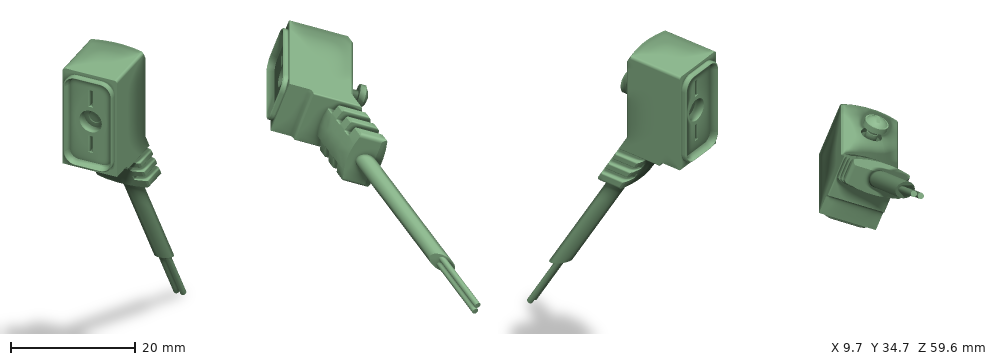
import cadquery as cq
import math


OVERALL_HEIGHT = 59.55
WIDTH = 9.7
HEIGHT = 18.05
DEPTH = 11.55
CROWN = 0.7
CORNER_CHAMFER = 0.3
TOP_EDGE_RADIUS = 0.5
TOP_BEVEL_HEIGHT = 1.35
TOP_BEVEL_DEPTH = 0.85
BASE_DROP = 0.9
STEP_Y = 4.15
STEP_RADIUS = 0.6

COLLAR_WIDTH = 8.75
COLLAR_HEIGHT = 16.7
COLLAR_RADIUS = 2.2
COLLAR_LENGTH = 0.9
COLLAR_CHAMFER = 0.2
RIM_INSET = 0.25
POCKET_DEPTH = 1.2
POCKET_DRAFT = 0.5

SLOT_WIDTH = 0.9
SLOT_CHAMFER = 0.2
SLOT_HEIGHT = 3.1
SLOT_DEPTH = 3.6
SLOT_OFFSET = 4.3

LEAN = math.radians(30)
LEAN_RUN = math.tan(LEAN)
BEND_Z = -7.15
RELIEF_THICKNESS = 6.25
RELIEF_END_Z = -17.8
END_BEVEL_HEIGHT = 0.85
END_BEVEL_DEPTH = 1.9
RELIEF_CORNER = 0.65
GROOVE_COUNT = 3
GROOVE_PITCH = 2.45
GROOVE_HEIGHT = 1.2
GROOVE_RADIUS = 0.25
CORE_WIDTH = 5.5
CABLE_DIAMETER = 2.9
CABLE_END_Z = -40.2
CABLE_CUT_SLOPE = math.radians(20)
WIRE_DIAMETER = 1.0
WIRE_SPACING = 1.2

SHANK_DIAMETER = 1.7
HEAD_DIAMETER = 4.0
HEAD_Y = 13.05
HEAD_RIM = 1.0
DOME_DIAMETER = 3.6
DOME_HEIGHT = 0.8
DRIVE_WIDTH = 0.6
DRIVE_DEPTH = 0.25
THREAD_DIAMETER = 2.0
THREAD_END_Y = 12.1
ACCESS_DIAMETER = 4.0
ACCESS_END_Y = 2.0
BORE_CHAMFER = 0.2
BACK_HOLE_DIAMETER = 3.6
BACK_HOLE_DEPTH = 0.9

TOP_Z = HEIGHT / 2
FACE_BASE_Z = -HEIGHT / 2
BASE_Z = FACE_BASE_Z - BASE_DROP
WIRE_END_Z = TOP_Z - OVERALL_HEIGHT + WIRE_DIAMETER / 2 * math.sin(LEAN)
AXIS_BEND_Y = DEPTH - RELIEF_THICKNESS / 2
CABLE_DIRECTION = cq.Vector(0, math.sin(LEAN), -math.cos(LEAN))


def axis_point(x, z):
    """Point at height z on a line parallel to the leaning cable axis, offset by x."""
    return cq.Vector(x, AXIS_BEND_Y + (BEND_Z - z) * LEAN_RUN, z)


def crowned_sweep(z_start, z_end, run, y_front, y_back, front_crown):
    """Horizontal section with a crowned back, swept from z_start to z_end while moving run along Y."""
    half = WIDTH / 2
    inner = half - CORNER_CHAMFER
    y_corner = y_back - CROWN
    section = (
        cq.Workplane("XY", origin=(0, 0, z_start))
        .moveTo(inner, y_corner)
        .threePointArc((0, y_back), (-inner, y_corner))
        .lineTo(-half, y_corner - CORNER_CHAMFER)
    )
    if front_crown:
        section = (
            section.lineTo(-half, y_front + CROWN + CORNER_CHAMFER)
            .lineTo(-inner, y_front + CROWN)
            .threePointArc((0, y_front), (inner, y_front + CROWN))
            .lineTo(half, y_front + CROWN + CORNER_CHAMFER)
        )
    else:
        section = section.lineTo(-half, y_front).lineTo(half, y_front)
    section = section.lineTo(half, y_corner - CORNER_CHAMFER).close()
    face = cq.Face.makeFromWires(section.val())
    return cq.Workplane(cq.Solid.extrudeLinear(face, cq.Vector(0, run, z_end - z_start)))


def make_block():
    bevel_z = TOP_Z - TOP_BEVEL_HEIGHT
    block = crowned_sweep(BASE_Z, bevel_z, 0, 0, DEPTH, False)
    top = crowned_sweep(bevel_z, TOP_Z, -TOP_BEVEL_DEPTH, 0, DEPTH, False)
    ahead = cq.Workplane("XY").box(WIDTH, DEPTH, HEIGHT).translate((0, -DEPTH / 2, TOP_Z))
    block = block.union(top.cut(ahead))
    rounding = (
        cq.Workplane("XZ").rect(WIDTH, 2 * HEIGHT).extrude(-DEPTH)
        .edges("|Y and >Z").fillet(TOP_EDGE_RADIUS)
        .translate((0, 0, TOP_Z - HEIGHT))
    )
    step = (
        cq.Workplane("YZ")
        .moveTo(0, BASE_Z)
        .lineTo(STEP_Y, BASE_Z)
        .lineTo(STEP_Y - BASE_DROP * LEAN_RUN, FACE_BASE_Z)
        .lineTo(0, FACE_BASE_Z)
        .close()
        .extrude(WIDTH, both=True)
        .faces(">Z").edges(">Y").fillet(STEP_RADIUS)
    )
    return block.intersect(rounding).cut(step)


def flared_groove(side, z):
    """Side groove running along Y, with rounded inner corners and a mouth flared by convex arcs."""
    half = WIDTH / 2
    top = GROOVE_HEIGHT / 2
    radius = GROOVE_RADIUS
    diagonal = radius * math.sqrt(0.5)
    floor = CORE_WIDTH / 2
    groove = (
        cq.Workplane("XZ")
        .moveTo(half, -top - radius)
        .threePointArc((half - radius + diagonal, -top - radius + diagonal), (half - radius, -top))
        .lineTo(floor + radius, -top)
        .threePointArc((floor + radius - diagonal, -top + radius - diagonal), (floor, -top + radius))
        .lineTo(floor, top - radius)
        .threePointArc((floor + radius - diagonal, top - radius + diagonal), (floor + radius, top))
        .lineTo(half - radius, top)
        .threePointArc((half - radius + diagonal, top + radius - diagonal), (half, top + radius))
        .close()
        .extrude(OVERALL_HEIGHT, both=True)
    )
    if side < 0:
        groove = groove.mirror("YZ")
    return groove.translate((0, 0, z))


def make_relief():
    drop = BEND_Z - RELIEF_END_Z
    relief = crowned_sweep(
        BEND_Z, RELIEF_END_Z, drop * LEAN_RUN, DEPTH - RELIEF_THICKNESS, DEPTH, True
    )
    y_tip = DEPTH + drop * LEAN_RUN
    end_bevel = (
        cq.Workplane("YZ")
        .moveTo(y_tip - END_BEVEL_DEPTH, RELIEF_END_Z)
        .lineTo(y_tip - END_BEVEL_HEIGHT * LEAN_RUN, RELIEF_END_Z + END_BEVEL_HEIGHT)
        .lineTo(y_tip, RELIEF_END_Z)
        .close()
        .extrude(WIDTH, both=True)
    )
    relief = relief.cut(end_bevel)
    rounding = (
        cq.Workplane("XZ").rect(WIDTH, 2 * drop).extrude(OVERALL_HEIGHT, both=True)
        .edges("|Y and <Z").fillet(RELIEF_CORNER)
        .translate((0, 0, RELIEF_END_Z + drop))
    )
    return relief.intersect(rounding)


def groove_cutters():
    cutters = []
    for index in range(GROOVE_COUNT):
        z = BASE_Z - GROOVE_HEIGHT / 2 - index * GROOVE_PITCH
        for side in (-1, 1):
            cutters.append(flared_groove(side, z))
    return cutters


def leaning_rod(x, diameter, z_end):
    """Cylinder along the cable direction, starting inside the strain relief."""
    start = axis_point(x, BASE_Z)
    end = axis_point(x, z_end)
    length = (end - start).Length
    return cq.Workplane(cq.Solid.makeCylinder(diameter / 2, length, start, CABLE_DIRECTION))


def make_cable():
    cable = leaning_rod(0, CABLE_DIAMETER, CABLE_END_Z - CABLE_DIAMETER)
    end = axis_point(0, CABLE_END_Z)
    below = (
        cq.Workplane("XY").box(WIDTH, WIDTH, WIDTH, centered=(True, True, False))
        .translate((0, 0, -WIDTH))
        .rotate((0, 0, 0), (1, 0, 0), -math.degrees(CABLE_CUT_SLOPE))
        .translate(end)
    )
    cable = cable.cut(below)
    for side in (-1, 1):
        cable = cable.union(leaning_rod(side * WIRE_SPACING / 2, WIRE_DIAMETER, WIRE_END_Z))
    return cable


def make_collar():
    return (
        cq.Workplane("XZ").rect(COLLAR_WIDTH, COLLAR_HEIGHT).extrude(COLLAR_LENGTH)
        .edges("|Y").fillet(COLLAR_RADIUS)
        .faces("<Y").edges().chamfer(COLLAR_CHAMFER)
    )


def make_collar_pocket():
    taper = math.degrees(math.atan2(POCKET_DRAFT, POCKET_DEPTH))
    mouth = cq.Sketch().rect(COLLAR_WIDTH - 2 * RIM_INSET, COLLAR_HEIGHT - 2 * RIM_INSET)
    mouth = mouth.vertices().fillet(COLLAR_RADIUS - RIM_INSET)
    return (
        cq.Workplane("XZ", origin=(0, -COLLAR_LENGTH, 0)).placeSketch(mouth)
        .extrude(-POCKET_DEPTH, taper=taper)
    )


def make_contact_slot(z):
    floor_y = POCKET_DEPTH - COLLAR_LENGTH
    slot = (
        cq.Workplane("XZ", origin=(0, floor_y, z))
        .rect(SLOT_WIDTH - 2 * SLOT_CHAMFER, SLOT_HEIGHT).extrude(-SLOT_DEPTH)
    )
    mouth = (
        cq.Workplane("XY", origin=(0, 0, z - SLOT_HEIGHT / 2))
        .moveTo(-SLOT_WIDTH / 2, floor_y)
        .lineTo(SLOT_WIDTH / 2, floor_y)
        .lineTo(SLOT_WIDTH / 2 - SLOT_CHAMFER, floor_y + SLOT_CHAMFER)
        .lineTo(SLOT_CHAMFER - SLOT_WIDTH / 2, floor_y + SLOT_CHAMFER)
        .close()
        .extrude(SLOT_HEIGHT)
    )
    return slot.union(mouth)


def along_y(diameter, y_start, y_end):
    return cq.Workplane("XZ", origin=(0, y_start, 0)).circle(diameter / 2).extrude(y_start - y_end)


def make_bore():
    mouth = (
        cq.Workplane("XZ", origin=(0, ACCESS_END_Y, 0))
        .circle(THREAD_DIAMETER / 2 + BORE_CHAMFER)
        .workplane(offset=-BORE_CHAMFER)
        .circle(THREAD_DIAMETER / 2)
        .loft()
    )
    return along_y(THREAD_DIAMETER, ACCESS_END_Y, DEPTH).union(mouth)


def make_housing():
    """Housing body with its strain relief, cable and wires moulded on as one solid."""
    housing = make_block().union(make_relief())
    for groove in groove_cutters():
        housing = housing.cut(groove)
    housing = housing.union(make_cable()).union(make_collar()).cut(make_collar_pocket())
    for z in (-SLOT_OFFSET, SLOT_OFFSET):
        housing = housing.cut(make_contact_slot(z))
    housing = housing.cut(along_y(ACCESS_DIAMETER, -COLLAR_LENGTH, ACCESS_END_Y))
    housing = housing.cut(make_bore())
    return housing.cut(along_y(BACK_HOLE_DIAMETER, DEPTH - BACK_HOLE_DEPTH, DEPTH))


def make_screw():
    rim_y = HEAD_Y + HEAD_RIM
    dome_y = rim_y + DOME_HEIGHT
    head_radius = HEAD_DIAMETER / 2
    shank_radius = SHANK_DIAMETER / 2
    thread_radius = THREAD_DIAMETER / 2
    dome_base = DOME_DIAMETER / 2
    dome_radius = (dome_base ** 2 + DOME_HEIGHT ** 2) / (2 * DOME_HEIGHT)
    half_angle = math.asin(dome_base / dome_radius) / 2
    dome_mid = (
        dome_radius * math.sin(half_angle),
        dome_y - dome_radius * (1 - math.cos(half_angle)),
    )
    screw = (
        cq.Workplane("XY")
        .moveTo(0, ACCESS_END_Y)
        .lineTo(thread_radius, ACCESS_END_Y)
        .lineTo(thread_radius, THREAD_END_Y)
        .lineTo(shank_radius, THREAD_END_Y)
        .lineTo(shank_radius, HEAD_Y)
        .lineTo(head_radius, HEAD_Y)
        .lineTo(head_radius, rim_y)
        .lineTo(dome_base, rim_y)
        .threePointArc(dome_mid, (0, dome_y))
        .close()
        .revolve(360, (0, 0, 0), (0, 1, 0))
    )
    drive_slot = (
        cq.Workplane("XY").box(DRIVE_WIDTH, 2 * DRIVE_DEPTH, HEAD_DIAMETER)
        .translate((0, dome_y, 0))
    )
    return screw.cut(drive_slot)


housing = make_housing()
screw = make_screw()
result = cq.Compound.makeCompound([housing.val(), screw.val()])